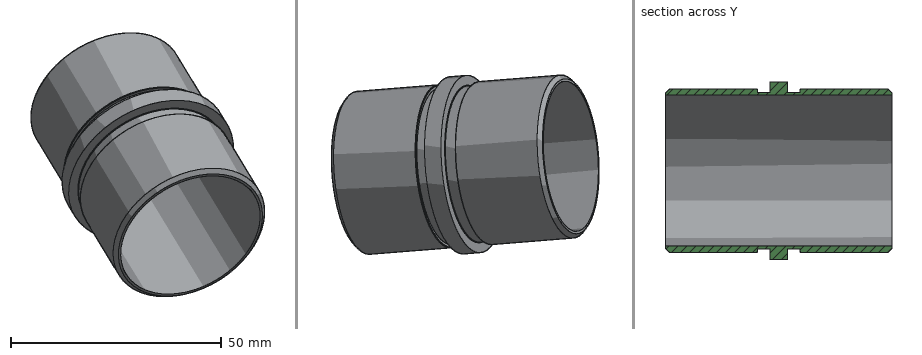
import cadquery as cq

length = 54.0
flange_diameter = 42.4
body_diameter = 39.0
groove_diameter = 37.35
bore_diameter = 35.85

flange_width = 4.2
groove_width = 2.9
sleeve_length = (length - flange_width) / 2 - groove_width

end_chamfer = 0.95
groove_rim_chamfer = 0.15
flange_root_chamfer = 0.15


def cylinder(diameter, start, width):
    """Cylinder along +X from the given X position, with its seam facing +Z."""
    plane = cq.Plane(origin=(start, 0, 0), xDir=(0, 0, 1), normal=(1, 0, 0))
    return cq.Workplane(plane).circle(diameter / 2).extrude(width)


def sleeve(start, end_face, groove_face):
    """Outer sleeve with a chamfered tube end and a lightly chamfered groove rim."""
    blank = cylinder(body_diameter, start, sleeve_length)
    blank = blank.faces(end_face).edges().chamfer(end_chamfer)
    return blank.faces(groove_face).edges().chamfer(groove_rim_chamfer)


def flange_root(start, outer_face):
    """Narrow conical step where the flange meets the groove floor."""
    root_diameter = groove_diameter + 2 * flange_root_chamfer
    root = cylinder(root_diameter, start, flange_root_chamfer * 2)
    return root.faces(outer_face).edges().chamfer(flange_root_chamfer)


core = cylinder(groove_diameter, sleeve_length - length / 2, length - 2 * sleeve_length)

flange = cylinder(flange_diameter, -flange_width / 2, flange_width)
left_root = flange_root(-flange_width / 2 - flange_root_chamfer, "<X")
right_root = flange_root(flange_width / 2 - flange_root_chamfer, ">X")

left_sleeve = sleeve(-length / 2, "<X", ">X")
right_sleeve = sleeve(length / 2 - sleeve_length, ">X", "<X")

bore = cylinder(bore_diameter, -length / 2, length)
solid = core.union(left_sleeve).union(right_sleeve)
solid = solid.union(flange).union(left_root).union(right_root)
result = solid.cut(bore)